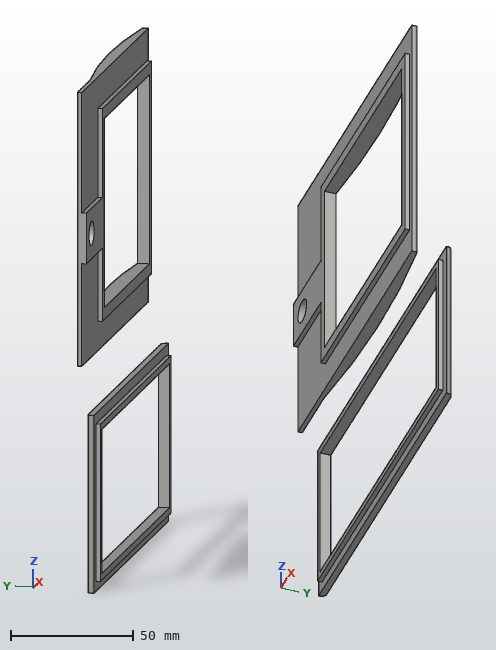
import cadquery as cq
lip_depth = 2.0
plate_thickness = 2.0
overall_depth = 7.3

cover_width = 134.2
cover_height = 114.3
cover_bottom = 99.7
window_width = 90.7
window_height = 79.0
window_left = 36.5
window_bottom = 117.0
lip_side_border = 4.3
lip_end_border = 5.0
crown_start = 25.7
cover_edge_radius = 0.6
tab_height = 21.2
hole_diameter = 10.0
hole_x = 10.5
hole_z = 153.2

bezel_left = 24.5
bezel_width = 150.5
bezel_height = 74.3
bezel_thickness = 2.8
bezel_opening_width = 136.5
bezel_opening_height = 60.1
bezel_lip_border = 2.8
bezel_edge_radius = 2.4


def block(left, bottom, width, height, front, depth):
    """Box given by its lower left corner in XZ and its front face in Y."""
    return cq.Workplane("XY").box(width, depth, height, centered=False).translate((left, front, bottom))


def cover_plate():
    """Constant section in XY: flat at the left, arched behind the window."""
    flat_back = lip_depth + plate_thickness
    crown_middle = window_left + window_width / 2
    half_span = crown_middle - crown_start
    rise = overall_depth - flat_back
    radius = (half_span**2 + rise**2) / (2 * rise)
    centre_y = overall_depth - radius

    def crown_depth(x):
        return centre_y + (radius**2 - (x - crown_middle) ** 2) ** 0.5

    plate = (
        cq.Workplane("XY")
        .workplane(offset=cover_bottom)
        .moveTo(0, lip_depth)
        .lineTo(cover_width, lip_depth)
        .lineTo(cover_width, crown_depth(cover_width))
        .threePointArc((crown_middle, overall_depth), (crown_start, flat_back))
        .lineTo(0, flat_back)
        .close()
        .extrude(cover_height)
    )
    left_back_edge = cq.selectors.NearestToPointSelector((0, flat_back, cover_bottom + cover_height / 2))
    right_back_edge = cq.selectors.NearestToPointSelector(
        (cover_width, crown_depth(cover_width), cover_bottom + cover_height / 2)
    )
    plate = plate.edges(left_back_edge).fillet(cover_edge_radius)
    return plate.edges(right_back_edge).fillet(cover_edge_radius)


def make_cover():
    lip = block(
        window_left - lip_side_border,
        window_bottom - lip_end_border,
        window_width + 2 * lip_side_border,
        window_height + 2 * lip_end_border,
        0,
        lip_depth,
    )
    tab = block(0, hole_z - tab_height / 2, window_left, tab_height, 0, lip_depth)
    window = block(window_left, window_bottom, window_width, window_height, 0, overall_depth)
    hole = (
        cq.Workplane("XZ")
        .center(hole_x, hole_z)
        .circle(hole_diameter / 2)
        .extrude(-overall_depth)
    )
    return cover_plate().union(lip).union(tab).cut(window).cut(hole)


def make_bezel():
    opening_left = bezel_left + (bezel_width - bezel_opening_width) / 2
    opening_bottom = (bezel_height - bezel_opening_height) / 2
    plate = block(bezel_left, 0, bezel_width, bezel_height, lip_depth, bezel_thickness)
    plate = plate.faces(">Y").edges("|Z").fillet(bezel_edge_radius)
    lip = block(
        opening_left - bezel_lip_border,
        opening_bottom - bezel_lip_border,
        bezel_opening_width + 2 * bezel_lip_border,
        bezel_opening_height + 2 * bezel_lip_border,
        0,
        lip_depth,
    )
    opening = block(
        opening_left,
        opening_bottom,
        bezel_opening_width,
        bezel_opening_height,
        0,
        lip_depth + bezel_thickness,
    )
    return plate.union(lip).cut(opening)


cover = make_cover()
bezel = make_bezel()
result = cq.Compound.makeCompound([cover.val(), bezel.val()])